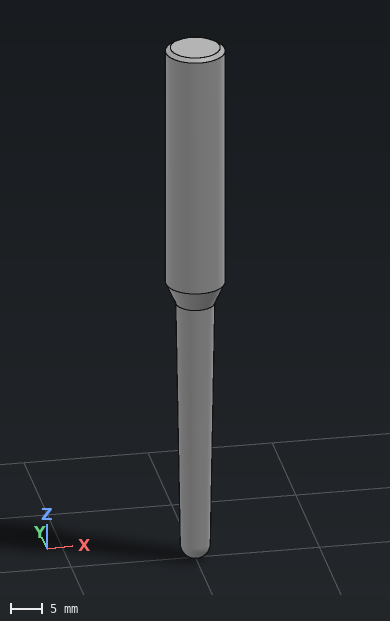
import cadquery as cq

total_length = 88.9
shank_radius = 4.76
chamfer_width = 0.8
chamfer_height = 0.5
shoulder_z = 48.1
neck_z = 44.45
neck_radius = 3.1
tip_radius = 2.4


def make_shank():
    """Cylindrical shank with a chamfered top and a conical lower end."""
    return (
        cq.Workplane("XZ")
        .moveTo(0, neck_z)
        .lineTo(neck_radius, neck_z)
        .lineTo(shank_radius, shoulder_z)
        .lineTo(shank_radius, total_length - chamfer_height)
        .lineTo(shank_radius - chamfer_width, total_length)
        .lineTo(0, total_length)
        .close()
        .revolve(360, (0, 0), (0, 1))
    )


def make_probe():
    """Slender tapered probe with a hemispherical tip."""
    tip_arc_offset = tip_radius * 0.5 ** 0.5
    return (
        cq.Workplane("XZ")
        .moveTo(0, 0)
        .threePointArc(
            (tip_arc_offset, tip_radius - tip_arc_offset),
            (tip_radius, tip_radius),
        )
        .lineTo(neck_radius, neck_z)
        .lineTo(0, neck_z)
        .close()
        .revolve(360, (0, 0), (0, 1))
    )


shank = make_shank()
probe = make_probe()

result = cq.Compound.makeCompound([shank.val(), probe.val()])